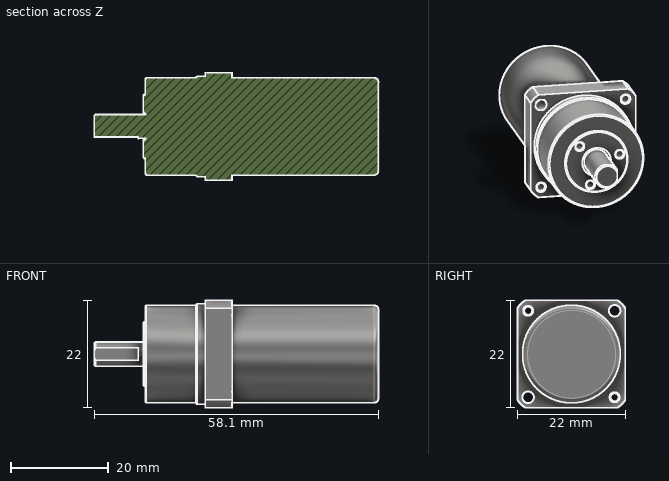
import cadquery as cq
import math

total_length = 58.1
boss_face = 10.0
housing_face = 10.4
collar_start = 20.75
plate_start = 22.65
plate_thickness = 5.5

body_radius = 10.0
collar_radius = 10.3
boss_radius = 6.55
boss_chamfer = 0.25
housing_chamfer = 0.3
collar_chamfer = 0.3
rear_fillet = 1.0

shaft_radius = 2.5
shaft_chamfer = 0.3
flat_offset = 2.15
flat_length = 9.0
recess_chamfer = 0.5

plate_side = 22.0
plate_corner_setback = 1.6
plate_corner_arc_radius = 4.65
plate_hole_offset = 8.85
clearance_hole_radius = 1.15
tapped_hole_radius = 0.8
tapped_mouth_radius = 1.05

boss_hole_count = 3
boss_hole_first_angle = 15
boss_hole_circle_radius = 5.0
boss_hole_radius = 0.8
boss_hole_mouth_radius = 1.0
boss_hole_depth = 0.3
drill_point_angle = 118


def revolve_profile(points):
    """Solid of revolution about the X axis from (x, radius) points."""
    return cq.Workplane("XY").polyline(points).close().revolve(360, (0, 0, 0), (1, 0, 0))


def make_gearmotor_body():
    profile = [
        (boss_face, 0),
        (boss_face, boss_radius - boss_chamfer),
        (boss_face + boss_chamfer, boss_radius),
        (housing_face, boss_radius),
        (housing_face, body_radius - housing_chamfer),
        (housing_face + housing_chamfer, body_radius),
        (collar_start, body_radius),
        (collar_start + collar_chamfer, collar_radius),
        (plate_start, collar_radius),
        (plate_start, body_radius),
        (total_length, body_radius),
        (total_length, 0),
    ]
    return revolve_profile(profile).faces(">X").edges().fillet(rear_fillet)


def make_mounting_plate():
    """Square plate whose corners are cut back to shallow arcs."""
    half = plate_side / 2
    inner = half - plate_corner_setback
    return (
        cq.Workplane("YZ", origin=(plate_start, 0, 0))
        .moveTo(-inner, half)
        .lineTo(inner, half)
        .radiusArc((half, inner), plate_corner_arc_radius)
        .lineTo(half, -inner)
        .radiusArc((inner, -half), plate_corner_arc_radius)
        .lineTo(-inner, -half)
        .radiusArc((-half, -inner), plate_corner_arc_radius)
        .lineTo(-half, inner)
        .radiusArc((-inner, half), plate_corner_arc_radius)
        .close()
        .extrude(plate_thickness)
    )


def make_shaft_recess():
    """Conical relief in the boss face around the shaft."""
    return revolve_profile([
        (boss_face, 0),
        (boss_face, shaft_radius + recess_chamfer),
        (boss_face + recess_chamfer, shaft_radius),
        (boss_face + recess_chamfer, 0),
    ])


def make_shaft():
    shaft_end = boss_face + recess_chamfer
    shaft = (
        cq.Workplane("YZ")
        .circle(shaft_radius)
        .extrude(shaft_end)
        .faces("<X")
        .chamfer(shaft_chamfer)
    )
    flat_cut = cq.Workplane("XY").box(
        flat_length, shaft_radius, 2 * shaft_radius, centered=(False, False, True)
    ).translate((0, -flat_offset - shaft_radius, 0))
    return shaft.cut(flat_cut)


def make_boss_hole(y, z):
    """Blind tapped hole with a chamfered mouth and a drill-point bottom."""
    mouth_depth = boss_hole_mouth_radius - boss_hole_radius
    point_depth = boss_hole_radius / math.tan(math.radians(drill_point_angle / 2))
    bottom = boss_face + boss_hole_depth
    return revolve_profile([
        (boss_face, 0),
        (boss_face, boss_hole_mouth_radius),
        (boss_face + mouth_depth, boss_hole_radius),
        (bottom, boss_hole_radius),
        (bottom + point_depth, 0),
    ]).translate((0, y, z))


def make_tapped_plate_hole(y, z):
    """Through hole chamfered at both faces of the plate."""
    mouth_depth = tapped_mouth_radius - tapped_hole_radius
    plate_end = plate_start + plate_thickness
    return revolve_profile([
        (plate_start, 0),
        (plate_start, tapped_mouth_radius),
        (plate_start + mouth_depth, tapped_hole_radius),
        (plate_end - mouth_depth, tapped_hole_radius),
        (plate_end, tapped_mouth_radius),
        (plate_end, 0),
    ]).translate((0, y, z))


def make_clearance_hole(y, z):
    return (
        cq.Workplane("YZ", origin=(plate_start, y, z))
        .circle(clearance_hole_radius)
        .extrude(plate_thickness)
    )


result = make_gearmotor_body().union(make_mounting_plate())
result = result.cut(make_shaft_recess()).union(make_shaft())

for index in range(boss_hole_count):
    angle = math.radians(boss_hole_first_angle + index * 360 / boss_hole_count)
    hole_y = -boss_hole_circle_radius * math.cos(angle)
    hole_z = boss_hole_circle_radius * math.sin(angle)
    result = result.cut(make_boss_hole(hole_y, hole_z))

for side in (-1, 1):
    offset = side * plate_hole_offset
    result = result.cut(make_clearance_hole(offset, offset))
    result = result.cut(make_tapped_plate_hole(-offset, offset))